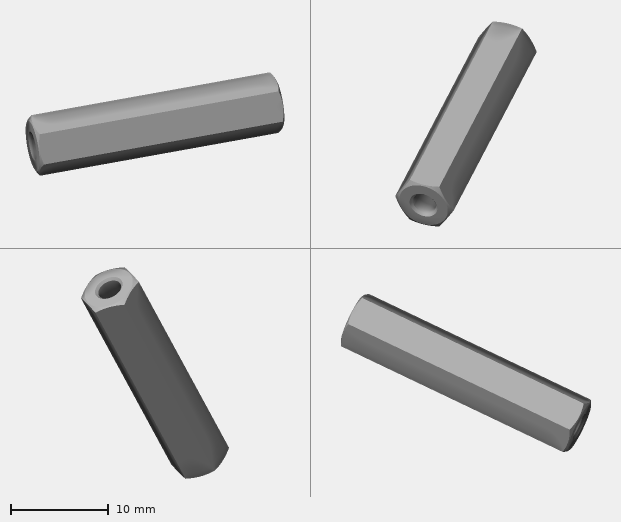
import cadquery as cq
import math

length = 26.0
across_flats = 5.5
across_corners = across_flats / math.cos(math.radians(30))

end_face_diameter = 5.25
corner_chamfer_angle = 30.0

hole_diameter = 2.5
hole_mouth_diameter = 3.02
hole_depth = 8.0
drill_point_angle = 118.0

half_length = length / 2
hole_radius = hole_diameter / 2


def hexagonal_bar():
    """Bar centred on the origin, with two corners on the X axis."""
    return cq.Workplane("XZ").polygon(6, across_corners).extrude(half_length, both=True)


def chamfer_envelope():
    """Round bar with coned ends; its overlap with the hexagon leaves the trimmed corners."""
    face_radius = end_face_diameter / 2
    outer_radius = across_corners
    cone_length = (outer_radius - face_radius) * math.tan(math.radians(corner_chamfer_angle))
    shoulder = half_length - cone_length
    profile = [
        (0, -half_length),
        (face_radius, -half_length),
        (outer_radius, -shoulder),
        (outer_radius, shoulder),
        (face_radius, half_length),
        (0, half_length),
    ]
    return cq.Workplane("XY").polyline(profile).close().revolve(360, (0, 0), (0, 1))


def blind_hole():
    """Cutter for the hole in the -Y end: 45 degree countersink, bore and drill point."""
    mouth_radius = hole_mouth_diameter / 2
    countersink_depth = mouth_radius - hole_radius
    point_length = hole_radius / math.tan(math.radians(drill_point_angle / 2))
    bore_end = hole_depth - half_length
    profile = [
        (0, -half_length),
        (mouth_radius, -half_length),
        (hole_radius, countersink_depth - half_length),
        (hole_radius, bore_end),
        (0, bore_end + point_length),
    ]
    return cq.Workplane("XY").polyline(profile).close().revolve(360, (0, 0), (0, 1))


near_hole = blind_hole()
far_hole = near_hole.mirror("XZ")

result = hexagonal_bar().intersect(chamfer_envelope()).cut(near_hole).cut(far_hole)